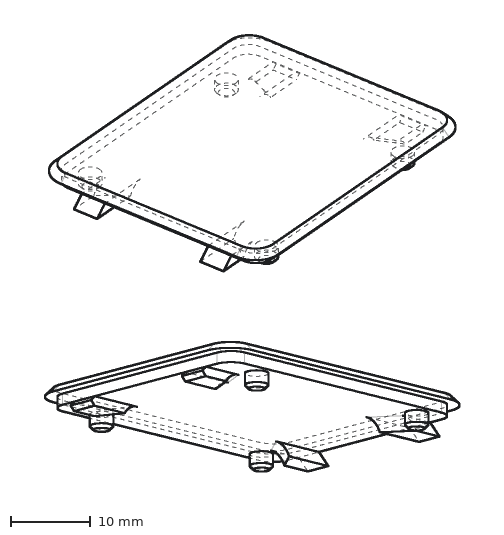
import cadquery as cq
import math

width = 35.55
length = 42.3
rim_height = 1.05
rim_corner_radius = 3.9

plinth_inset_x = 1.5
plinth_inset_y = 1.6
plinth_corner_radius = 2.4
plinth_bottom = -2.5
plinth_edge_y = length / 2 - plinth_inset_y

pin_diameter = 2.95
pin_chamfer = 0.45
pin_bottom = -4.5
pin_x = 13.95
front_pin_y = -15.1
rear_pin_y = 12.75

latch_outer_x = 11.85
latch_width = 3.7
latch_embed = 0.42
latch_arc_radius = 2.5
front_latch_height = 1.52
front_latch_root_y = 14.75
front_latch_slant = 2.75
rear_latch_height = 1.23
rear_latch_root_y = 13.83
rear_latch_slant = 1.7


def rounded_slab(size_x, size_y, top, bottom, corner_radius):
    """Vertical-sided slab with rounded corners."""
    slab = cq.Workplane("XY").workplane(offset=bottom).rect(size_x, size_y).extrude(top - bottom)
    return slab.edges("|Z").fillet(corner_radius)


def pin(x, y):
    """Round pin with a chamfered tip, hanging from the plinth."""
    body = cq.Workplane("XY").workplane(offset=pin_bottom).center(x, y).circle(pin_diameter / 2)
    return body.extrude(plinth_bottom - pin_bottom).faces("<Z").chamfer(pin_chamfer)


def latch_section(x, nose, height, root_y):
    """Closed latch outline at x; nose lists its outer points from the plinth edge down."""
    latch_top = plinth_bottom + latch_embed
    latch_bottom = plinth_bottom - height

    def arc_point(drop):
        run = math.sqrt(latch_arc_radius**2 - (latch_arc_radius - drop) ** 2)
        return (root_y + run, plinth_bottom - drop)

    outline = (
        cq.Workplane("YZ", origin=(x, 0, 0))
        .moveTo(root_y, latch_top)
        .lineTo(plinth_edge_y, latch_top)
        .lineTo(plinth_edge_y, plinth_bottom)
    )
    for y, drop in nose:
        outline = outline.lineTo(y, plinth_bottom - drop)
    outline = outline.lineTo(arc_point(height)[0], latch_bottom)
    outline = outline.threePointArc(arc_point(height / 3), (root_y, plinth_bottom))
    return outline.close().wires().val()


def latch(nose, height, root_y, slant):
    """Latch on the +X, +Y side, ruled between its outer and inner side outlines."""
    outer = latch_section(latch_outer_x, nose, height, root_y)
    inner = latch_section(latch_outer_x - latch_width, nose, height, root_y - slant)
    return cq.Workplane(cq.Solid.makeLoft([outer, inner], True))


rim_land = 0.005
rim = rounded_slab(width, length, 0, -rim_height, rim_corner_radius)
rim = rim.faces(">Z").chamfer(rim_height - rim_land)

plinth = rounded_slab(
    width - 2 * plinth_inset_x,
    length - 2 * plinth_inset_y,
    -rim_height,
    plinth_bottom,
    plinth_corner_radius,
)
result = rim.union(plinth)

for side in (-1, 1):
    for pin_y in (front_pin_y, rear_pin_y):
        result = result.union(pin(side * pin_x, pin_y))

front_nose = [(length / 2, front_latch_height)]
front_latch = latch(front_nose, front_latch_height, front_latch_root_y, front_latch_slant)
front_latch = front_latch.mirror("XZ")

rear_tip_drop = rear_latch_height / 2
rear_nose = [(plinth_edge_y + rear_tip_drop, rear_tip_drop), (plinth_edge_y, rear_latch_height)]
rear_latch = latch(rear_nose, rear_latch_height, rear_latch_root_y, rear_latch_slant)

for corner_latch in (front_latch, rear_latch):
    result = result.union(corner_latch).union(corner_latch.mirror("YZ"))